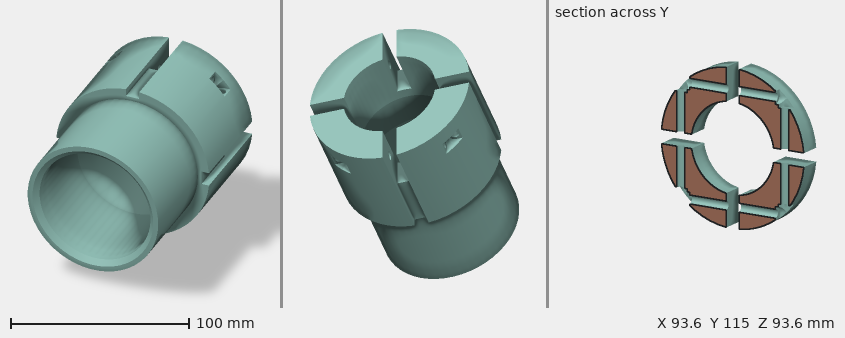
import cadquery as cq

total_length = 115
collar_length = 60.0
collar_diameter = 94.0
spigot_diameter = 80.0

socket_diameter = 68.0
throat_diameter = 54
mouth_chamfer = 3.0
cone_length = 26.0

slot_width = 8.2
slot_floor_radius = 42.3
through_slot_length = 28.1

screw_hole_diameter = 5.0
screw_head_diameter = 8.2
screw_offset = 34.0
screw_from_back = 13.3
head_seat_offset = 28.2

back_y = total_length / 2
front_y = -back_y
collar_front_y = back_y - collar_length
screw_y = back_y - screw_from_back
quarter_turns = [0, 90, 180, 270]


def turn(shape, angle):
    """Rotate a shape about the sleeve axis."""
    return shape.rotate((0, 0, 0), (0, 1, 0), angle)


def sleeve():
    """Revolved collar and spigot with a chamfered, tapering bore."""
    socket_radius = socket_diameter / 2
    throat_radius = throat_diameter / 2
    return (
        cq.Workplane("XY")
        .moveTo(socket_radius + mouth_chamfer, front_y)
        .lineTo(spigot_diameter / 2, front_y)
        .lineTo(spigot_diameter / 2, collar_front_y)
        .lineTo(collar_diameter / 2, collar_front_y)
        .lineTo(collar_diameter / 2, back_y)
        .lineTo(throat_radius, back_y)
        .lineTo(throat_radius, collar_front_y + cone_length)
        .lineTo(socket_radius, collar_front_y)
        .lineTo(socket_radius, front_y + mouth_chamfer)
        .close()
        .revolve(360, (0, 0, 0), (0, 1, 0))
    )


def slot():
    """Shallow slot along the top of the collar, open to the bore at the back."""
    shallow = cq.Workplane("XY").box(
        slot_width, collar_length, collar_diameter, centered=(True, False, False)
    ).translate((0, collar_front_y, slot_floor_radius))
    through = cq.Workplane("XY").box(
        slot_width, through_slot_length, collar_diameter, centered=(True, False, False)
    ).translate((0, back_y - through_slot_length, 0))
    return shallow.union(through)


def screw_hole():
    """Hole along Z through the whole collar on the +X side."""
    return (
        cq.Workplane("XY", origin=(screw_offset, screw_y, 0))
        .circle(screw_hole_diameter / 2)
        .extrude(collar_diameter / 2, both=True)
    )


def head_pocket():
    """Round-ended pocket above a screw seat, open towards the outside in +X."""
    seat = cq.Workplane("XY", origin=(screw_offset, screw_y, head_seat_offset))
    round_end = seat.circle(screw_head_diameter / 2).extrude(collar_diameter)
    open_side = seat.rect(
        collar_diameter, screw_head_diameter
    ).extrude(collar_diameter).translate((collar_diameter / 2, 0, 0))
    return round_end.union(open_side)


result = sleeve()
for angle in quarter_turns:
    pocket = head_pocket()
    result = result.cut(turn(slot(), angle))
    result = result.cut(turn(screw_hole(), angle))
    result = result.cut(turn(pocket, angle))
    result = result.cut(turn(pocket.mirror("YZ"), angle))